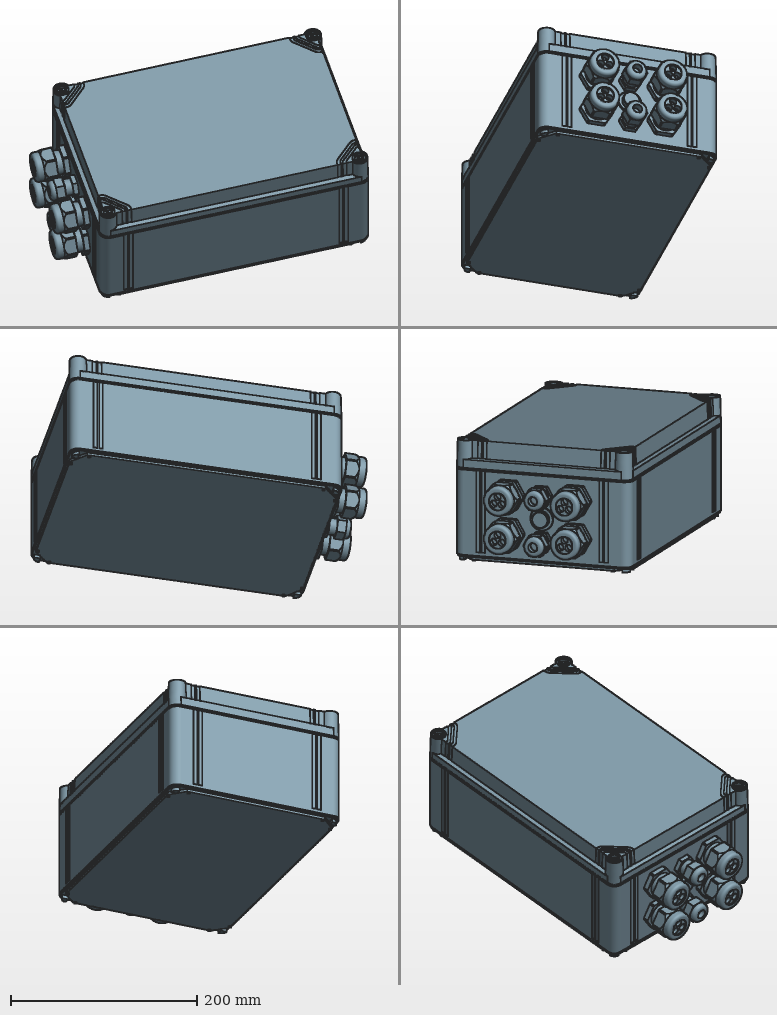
import cadquery as cq
import math

width = 200.0
length = 300.0
height = 132.0
corner_radius = 10.0
groove_depth = 0.5

plate_bottom = 1.0
step_bottom = 4.2
base_bottom = 6.2
base_groove_bottom = 10.2
base_top = 100.0
skirt_bottom = 102.0
skirt_top = 111.4
ledge_inner_top = 112.4

step_inset = 1.0
seal_inset = 1.2
lid_wall_inset = 5.2
lid_wall_draft = 2.5
lid_wall_radius = 1.0

groove_bands = (
    {"wall": (24.8, 29.1), "diagonal": (33.4, 37.8), "bend_radius": (4.0, 4.0)},
    {"wall": (30.9, 35.0), "diagonal": (41.9, 46.6), "bend_radius": (4.0, 8.0)},
)

boss_radius = 9.2
boss_rim_radius = 7.4
boss_rim_depth = 0.4
screw_recess_radius = 5.3
screw_recess_depth = 3.5
screw_cross_span = 7.6
screw_cross_width = 2.0
screw_cross_depth = 3.0

plate_inset = 3.0
plate_corner_chamfer = 15.8
foot_radius = corner_radius - plate_inset
pin_radius = 1.5
pin_offset = 21.0
pin_inset = plate_inset + pin_radius

wall_y = -length / 2
entry_z = 53.0
large_x = 38.0
large_mid_z = 55.5
large_pitch_z = 42.2
small_pitch_z = 50.8

vent_flange_radius = 12.7
vent_flange_length = 2.0
vent_body_radius = 9.0
vent_edge_chamfer = 0.5
vent_length = 7.4

large_flats = 32.5
large_corner_radius = 18.3
large_flange_end = 6.1
large_neck_radius = 13.4
large_neck_end = 13.9
large_nut_end = 28.2
large_nut_chamfer_length = 3.5
large_dome_radius = large_flats / 2
large_length = 37.0
large_dome_rounding = 3.4
insert_radius = 9.5
insert_depth = 1.5
wire_radius = 3.7
wire_circle_radius = 5.4
wire_depth = 8.0
wire_count = 3
wire_start_angle = 90.0

small_flange_flats = 21.4
small_flange_end = 5.6
small_neck_radius = 9.2
small_neck_end = 14.2
small_flats = 22.3
small_nut_end = 24.0
small_dome_radius = small_flats / 2
small_length = 30.0
small_dome_rounding = 4.0
small_hole_radius = 5.0
small_hole_depth = 8.0


def block(inset, radius, z_low, z_high, draft=0.0):
    """Upright block following the enclosure outline, set in by `inset`."""
    outline = cq.Sketch().rect(width - 2 * inset, length - 2 * inset).vertices().fillet(radius)
    return cq.Workplane("XY", origin=(0, 0, z_low)).placeSketch(outline).extrude(z_high - z_low, taper=draft)


def at_corners(shape):
    """Copies of a shape made for the (-X, -Y) corner, mirrored into all four corners."""
    pair = shape.union(shape.mirror("YZ"))
    return pair.union(pair.mirror("XZ"))


def corner_point(along_x, along_y):
    """Point given by its distances from the two walls of the (-X, -Y) corner."""
    return (along_x - width / 2, along_y - length / 2)


def cylinder_at(point, radius, z_low, z_high):
    return cq.Workplane("XY", origin=(*point, z_low)).circle(radius).extrude(z_high - z_low)


def corner_block(z_low, z_high):
    """Square prism between the corner axis and the two walls."""
    corner = cq.Workplane("XY", origin=(*corner_point(0, 0), z_low))
    return corner.rect(corner_radius, corner_radius, centered=False).extrude(z_high - z_low)


def corner_triangle(wall, diagonal, bend_radius):
    """Tall prism filling the (-X, -Y) corner out to a groove edge."""
    bend = diagonal - wall
    points = ((0, 0), (wall, 0), (wall, bend), (bend, wall), (0, wall))
    outline = cq.Workplane("XY").polyline([corner_point(*point) for point in points])
    prism = outline.close().extrude(2 * height)
    for place in ((wall, bend), (bend, wall)):
        near = cq.NearestToPointSelector((*corner_point(*place), height))
        prism = prism.edges("|Z").edges(near).fillet(bend_radius)
    return prism


def lid_groove_bands():
    bands = None
    for band in groove_bands:
        inner, outer = zip(band["wall"], band["diagonal"], band["bend_radius"])
        strip = corner_triangle(*outer).cut(corner_triangle(*inner))
        bands = strip if bands is None else bands.union(strip)
    return at_corners(bands)


def base_grooves():
    """Upright shallow slots beside each corner of the base, open at the top."""
    slots = None
    rise = base_top - base_groove_bottom
    for band in groove_bands:
        start, end = band["wall"]
        breadth = end - start
        for place, size in (((start, 0), (breadth, groove_depth)), ((0, start), (groove_depth, breadth))):
            floor = cq.Workplane("XY", origin=(*corner_point(*place), base_groove_bottom))
            slot = floor.rect(*size, centered=False).extrude(rise)
            slots = slot if slots is None else slots.union(slot)
    return at_corners(slots)


def make_base():
    base = block(0, corner_radius, base_bottom, base_top).cut(base_grooves())
    step = block(step_inset, corner_radius - step_inset, step_bottom, base_bottom)
    seal = block(seal_inset, corner_radius - seal_inset, base_top, skirt_bottom)
    return base.union(step).union(seal)


def make_underside():
    plate = (
        cq.Workplane("XY", origin=(0, 0, plate_bottom))
        .rect(width - 2 * plate_inset, length - 2 * plate_inset)
        .extrude(step_bottom - plate_bottom)
        .edges("|Z")
        .chamfer(plate_corner_chamfer)
    )
    feet = cylinder_at(corner_point(corner_radius, corner_radius), foot_radius, 0, step_bottom)
    feet = feet.intersect(corner_block(0, step_bottom))
    for place in ((pin_offset, pin_inset), (pin_inset, pin_offset)):
        feet = feet.union(cylinder_at(corner_point(*place), pin_radius, 0, step_bottom))
    return plate.union(at_corners(feet))


def make_lid():
    skirt = block(0, corner_radius, skirt_bottom, skirt_top)
    ledge_rise = ledge_inner_top - skirt_top
    ledge_slope = math.degrees(math.atan(lid_wall_inset / ledge_rise))
    ledge = block(0, corner_radius, skirt_top, ledge_inner_top, ledge_slope)
    core_inset = lid_wall_inset + groove_depth
    shell = block(lid_wall_inset, lid_wall_radius, ledge_inner_top, height, lid_wall_draft)
    core = block(core_inset, lid_wall_radius, ledge_inner_top, height - groove_depth, lid_wall_draft)
    return skirt.union(ledge).union(shell.cut(lid_groove_bands())).union(core)


def add_bosses(body):
    centre = corner_point(corner_radius, corner_radius)
    boss_height = height - skirt_bottom
    draft = math.degrees(math.atan((corner_radius - boss_radius) / boss_height))
    boss_plane = cq.Workplane("XY", origin=(*centre, skirt_bottom))
    boss = boss_plane.circle(corner_radius).extrude(boss_height, taper=draft)
    skirt_corner = corner_block(skirt_bottom, height)
    recess_floor = height - screw_recess_depth
    recess = cylinder_at(centre, boss_rim_radius, height - boss_rim_depth, height)
    recess = recess.union(cylinder_at(centre, screw_recess_radius, recess_floor, height))
    cross_plane = cq.Workplane("XY", origin=(*centre, recess_floor))
    for size in ((screw_cross_span, screw_cross_width), (screw_cross_width, screw_cross_span)):
        recess = recess.union(cross_plane.rect(*size).extrude(-screw_cross_depth))
    return body.cut(at_corners(skirt_corner)).union(at_corners(boss)).cut(at_corners(recess))


def outward(start=0.0):
    return cq.Workplane("XZ", origin=(0, wall_y - start, 0))


def hexagon(flats, start, end):
    return outward(start).polygon(6, flats / math.cos(math.pi / 6)).extrude(end - start)


def disc(radius, start, end):
    return outward(start).circle(radius).extrude(end - start)


def make_large_corner_trim():
    """Turned envelope that rounds the hexagon corners and bevels the nut's outer end."""
    bevel_start = large_nut_end - large_nut_chamfer_length
    bevel = math.degrees(math.atan((large_corner_radius - large_dome_radius) / large_nut_chamfer_length))
    tip = outward(bevel_start).circle(large_corner_radius).extrude(large_nut_chamfer_length, taper=bevel)
    return disc(large_corner_radius, 0, bevel_start).union(tip)


def make_large_gland():
    hexes = hexagon(large_flats, 0, large_flange_end)
    nut = hexagon(large_flats, large_neck_end, large_nut_end)
    hexes = hexes.union(nut).intersect(make_large_corner_trim())
    neck = disc(large_neck_radius, 0, large_nut_end)
    dome = disc(large_dome_radius, large_nut_end, large_length)
    dome = dome.faces("<Y").edges().fillet(large_dome_rounding)
    gland = hexes.union(neck).union(dome)
    gland = gland.cut(disc(insert_radius, large_length - insert_depth, large_length))
    wires = (
        outward(large_length)
        .polarArray(wire_circle_radius, wire_start_angle, 360, wire_count)
        .circle(wire_radius)
        .extrude(-wire_depth)
    )
    return gland.cut(wires)


def make_small_gland():
    flange = hexagon(small_flange_flats, 0, small_flange_end)
    nut = hexagon(small_flats, small_neck_end, small_nut_end)
    neck = disc(small_neck_radius, 0, small_nut_end)
    dome = disc(small_dome_radius, small_nut_end, small_length)
    dome = dome.faces("<Y").edges().fillet(small_dome_rounding)
    hole = disc(small_hole_radius, small_length - small_hole_depth, small_length)
    return flange.union(nut).union(neck).union(dome).cut(hole)


def make_vent():
    flange = disc(vent_flange_radius, 0, vent_flange_length)
    body = disc(vent_body_radius, 0, vent_length).faces("<Y").edges().chamfer(vent_edge_chamfer)
    return flange.union(body)


def add_fittings(body):
    large = make_large_gland()
    small = make_small_gland()
    for side in (-1, 1):
        body = body.union(small.translate((0, 0, entry_z + side * small_pitch_z / 2)))
        for x in (-large_x, large_x):
            body = body.union(large.translate((x, 0, large_mid_z + side * large_pitch_z / 2)))
    return body.union(make_vent().translate((0, 0, entry_z)))


enclosure = make_base().union(make_underside()).union(make_lid())
result = add_fittings(add_bosses(enclosure))